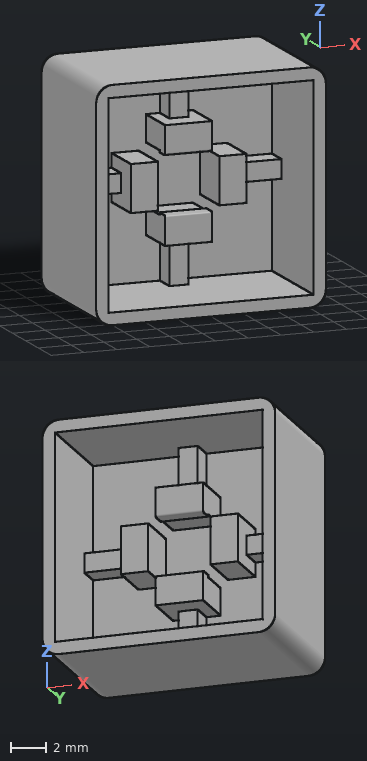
import cadquery as cq

side = 14.0
depth = 8.5
corner_radius = 1.0
wall = 0.75
floor_thickness = 2.0
floor_y = depth - floor_thickness

pad_width = 2.85
pad_inner = 1.88
pad_outer = 3.51
pad_height = 3.0
rib_width = 1.15
rib_height = 1.5

lip_height = 0.13
lip_length = 0.9

cavity = side - 2 * wall


def block(width, z_start, z_end, height):
    """Block standing on the cavity floor, centred on X, spanning z_start to z_end."""
    base = cq.Workplane("XY", origin=(0, floor_y - height, z_start))
    return base.box(width, height, z_end - z_start, centered=(True, False, False))


def retaining_lip():
    """Lip on the inner face of the upper pad; a quarter round leads in from the open end."""
    front_y = floor_y - pad_height
    lip_face = pad_inner - lip_height
    return (
        cq.Workplane("YZ", origin=(-pad_width / 2, 0, 0))
        .moveTo(front_y, pad_inner)
        .radiusArc((front_y + lip_height, lip_face), -lip_height)
        .lineTo(front_y + lip_length, lip_face)
        .lineTo(front_y + lip_length, pad_inner)
        .close()
        .extrude(pad_width)
    )


shell = cq.Workplane("XZ").rect(side, side).extrude(-depth).edges("|Y").fillet(corner_radius)
result = shell.cut(cq.Workplane("XZ").rect(cavity, cavity).extrude(-floor_y))

for angle in (0, 90, 180, 270):
    rib = block(rib_width, pad_outer, cavity / 2, rib_height)
    pad = block(pad_width, pad_inner, pad_outer, pad_height)
    support = rib.union(pad)
    if angle in (0, 180):
        support = support.union(retaining_lip())
    result = result.union(support.rotate((0, 0, 0), (0, 1, 0), angle))